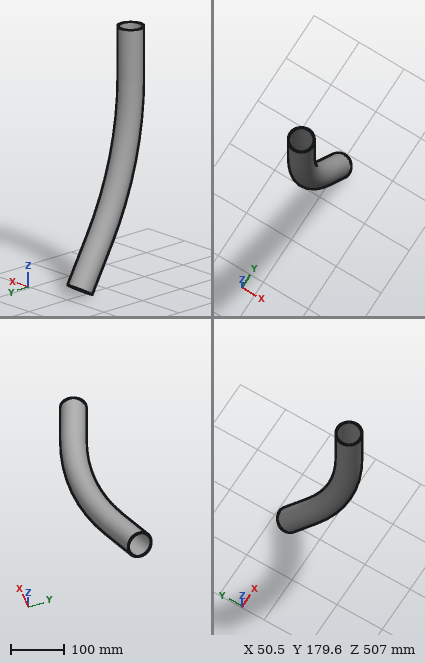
import cadquery as cq
import math

overall_height = 507.0
outer_diameter = 50.5
inner_diameter = 46.5
straight_length = 101.5
bend_angle = 30.0

outer_radius = outer_diameter / 2
inner_radius = inner_diameter / 2
bend_sin = math.sin(math.radians(bend_angle))
bend_cos = math.cos(math.radians(bend_angle))

bend_height = overall_height - straight_length * (1 + bend_cos) - outer_radius * bend_sin
bend_radius = bend_height / bend_sin


def bend_point(angle):
    """Point on the centreline arc in (Y, Z), at an angle in degrees from the bend start."""
    turn = math.radians(angle)
    y = bend_radius * (1 - math.cos(turn))
    z = -straight_length - bend_radius * math.sin(turn)
    return (y, z)


bend_start = bend_point(0)
bend_middle = bend_point(bend_angle / 2)
bend_end = bend_point(bend_angle)
lower_end = (
    bend_end[0] + straight_length * bend_sin,
    bend_end[1] - straight_length * bend_cos,
)
centreline = (
    cq.Workplane("YZ")
    .moveTo(0, 0)
    .lineTo(*bend_start)
    .threePointArc(bend_middle, bend_end)
    .lineTo(*lower_end)
)

result = cq.Workplane("XY").circle(outer_radius).circle(inner_radius).sweep(centreline)